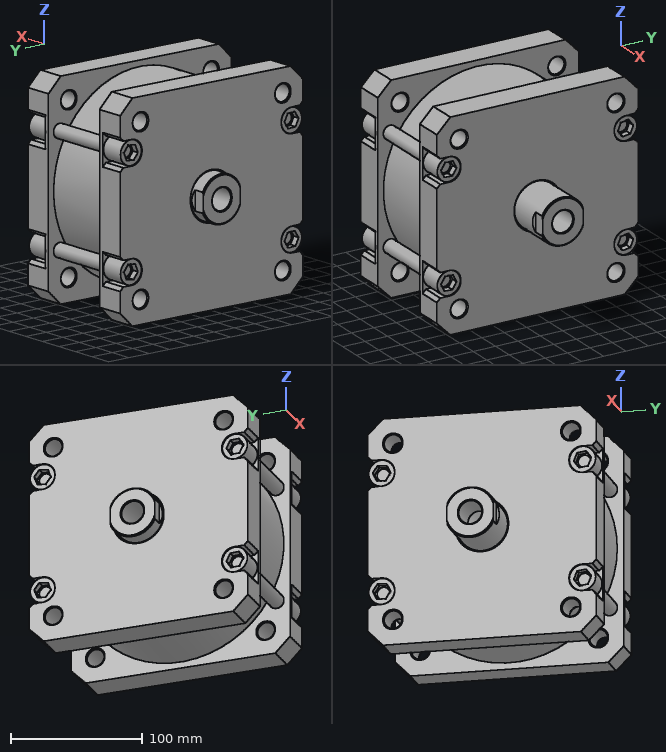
import cadquery as cq
import math

plate_side = 180.0
plate_thickness = 25.0
plate_corner_chamfer = 12.0
drum_length = 61.7
drum_diameter = 170.0

mount_offset = 70.0
mount_diameter = 14.0
mount_chamfer = 0.9

rod_y = 79.0
rod_z = 47.0
rod_diameter = 12.0
head_diameter = 20.5
head_length = 20.5
slot_width = 21.0
slot_depth = 21.0
slot_flare = 3.0
socket_flats = 12.0
socket_depth = 6.0
back_socket_turn = 8.0
front_socket_turn = -3.0
floor_step_diameter = 10.0
floor_step_depth = 0.4

shaft_diameter = 40.0
shaft_left_reach = 12.5
shaft_right_reach = 37.3
shaft_chamfer = 0.9
shaft_bore_chamfer = 1.0
flat_half_width = 18.2
flat_length = 10.0
end_bore_diameter = 18.4
end_bore_chamfer = 0.7
end_bore_depth = 30.0
drill_point_angle = 118.0

drum_face = drum_length / 2
plate_face = drum_face + plate_thickness
slot_floor = plate_face - slot_depth
shaft_left_end = -(plate_face + shaft_left_reach)
shaft_right_end = plate_face + shaft_right_reach
mount_points = [(y, z) for y in (-mount_offset, mount_offset) for z in (-mount_offset, mount_offset)]
rod_points = [(y, z) for y in (-rod_y, rod_y) for z in (-rod_z, rod_z)]


def cross_section(x):
    """Workplane at x whose local axes are Y and Z and whose normal is +X."""
    return cq.Workplane("YZ", origin=(x, 0, 0))


def round_bar(x_start, x_end, diameter, points=((0, 0),)):
    """Round bars parallel to X, one at each (y, z) point."""
    return cross_section(x_start).pushPoints(points).circle(diameter / 2).extrude(x_end - x_start)


def head_slot(side, z):
    """Slot for one rod head at height z, open to the outer face and to the Y side given by side."""
    radius = slot_width / 2
    edge = plate_side / 2
    flare_start = edge - slot_flare
    mouth = radius + slot_flare
    return (
        cross_section(slot_floor)
        .moveTo(side * edge, z + mouth)
        .lineTo(side * flare_start, z + radius)
        .lineTo(side * rod_y, z + radius)
        .threePointArc((side * (rod_y - radius), z), (side * rod_y, z - radius))
        .lineTo(side * flare_start, z - radius)
        .lineTo(side * edge, z - mouth)
        .close()
        .extrude(slot_depth)
    )


def right_end_plate():
    """End plate on the +X side of the drum."""
    plate = (
        cross_section(drum_face)
        .rect(plate_side, plate_side)
        .extrude(plate_thickness)
        .edges("|X")
        .chamfer(plate_corner_chamfer)
    )
    mount_holes = round_bar(drum_face, plate_face, mount_diameter, mount_points)
    plate = plate.cut(mount_holes)
    plate = plate.edges(cq.selectors.RadiusNthSelector(0)).chamfer(mount_chamfer)

    plate = plate.cut(round_bar(drum_face, plate_face, shaft_diameter))
    rim = cq.selectors.BoxSelector(
        (plate_face - shaft_bore_chamfer, -shaft_diameter, -shaft_diameter),
        (plate_face + shaft_bore_chamfer, shaft_diameter, shaft_diameter),
    )
    plate = plate.edges("%CIRCLE").edges(rim).chamfer(shaft_bore_chamfer)

    plate = plate.cut(round_bar(drum_face, plate_face, rod_diameter, rod_points))
    for y, z in rod_points:
        plate = plate.cut(head_slot(math.copysign(1, y), z))
    return plate


def drum():
    """Round drum between the plates, bored for the shaft."""
    body = round_bar(-drum_face, drum_face, drum_diameter)
    return body.cut(round_bar(-drum_face, drum_face, shaft_diameter))


def socket(y, z, turn, x_open, direction):
    """Hexagon socket with a shallow round step in its floor, sunk from x_open along direction.

    A turn of zero puts two corners of the hexagon level with the rod axis.
    """
    mouth = cross_section(x_open).center(y, z)
    hexagon = (
        mouth.transformed(rotate=(0, 0, turn))
        .polygon(6, socket_flats / math.cos(math.radians(30)))
        .extrude(direction * socket_depth)
    )
    floor_step = mouth.circle(floor_step_diameter / 2).extrude(direction * (socket_depth + floor_step_depth))
    return hexagon.union(floor_step)


def tie_rod(y, z):
    """Rod with a socket head at both ends."""
    rod_end = slot_floor + head_length
    turn = back_socket_turn if y > 0 else front_socket_turn
    at = [(y, z)]
    rod = round_bar(-slot_floor, slot_floor, rod_diameter, at)
    rod = rod.union(round_bar(-rod_end, -slot_floor, head_diameter, at))
    rod = rod.union(round_bar(slot_floor, rod_end, head_diameter, at))
    rod = rod.cut(socket(y, z, turn, -rod_end, 1))
    return rod.cut(socket(y, z, turn, rod_end, -1))


def flat_cut(x_end, inward, side):
    """Wedge that leaves a flat with a 45 degree run-out at one end of the shaft."""
    depth = shaft_diameter / 2 - flat_half_width
    flat_y = side * flat_half_width
    outer_y = side * shaft_diameter / 2
    flat_end = x_end + inward * flat_length
    return (
        cq.Workplane("XY")
        .polyline([(x_end, flat_y), (flat_end, flat_y), (flat_end + inward * depth, outer_y), (x_end, outer_y)])
        .close()
        .extrude(shaft_diameter / 2, both=True)
    )


def end_bore(x_end, inward):
    """Blind bore with a chamfered mouth and a drill point, turned about the shaft axis."""
    radius = end_bore_diameter / 2
    point_length = radius / math.tan(math.radians(drill_point_angle / 2))
    return (
        cq.Workplane("XY")
        .polyline([
            (x_end, 0),
            (x_end, radius + end_bore_chamfer),
            (x_end + inward * end_bore_chamfer, radius),
            (x_end + inward * end_bore_depth, radius),
            (x_end + inward * (end_bore_depth + point_length), 0),
        ])
        .close()
        .revolve(360, (0, 0, 0), (1, 0, 0))
    )


def shaft():
    """Through shaft with two flats and a blind bore at each end."""
    body = round_bar(shaft_left_end, shaft_right_end, shaft_diameter)
    body = body.faces("<X or >X").edges().chamfer(shaft_chamfer)
    for x_end, inward in ((shaft_left_end, 1), (shaft_right_end, -1)):
        for side in (-1, 1):
            body = body.cut(flat_cut(x_end, inward, side))
        body = body.cut(end_bore(x_end, inward))
    return body


right_plate = right_end_plate()
left_plate = right_plate.mirror("YZ")
tie_rods = [tie_rod(y, z) for y, z in rod_points]

result = cq.Compound.makeCompound([
    left_plate.val(),
    right_plate.val(),
    drum().val(),
    shaft().val(),
    *[rod.val() for rod in tie_rods],
])